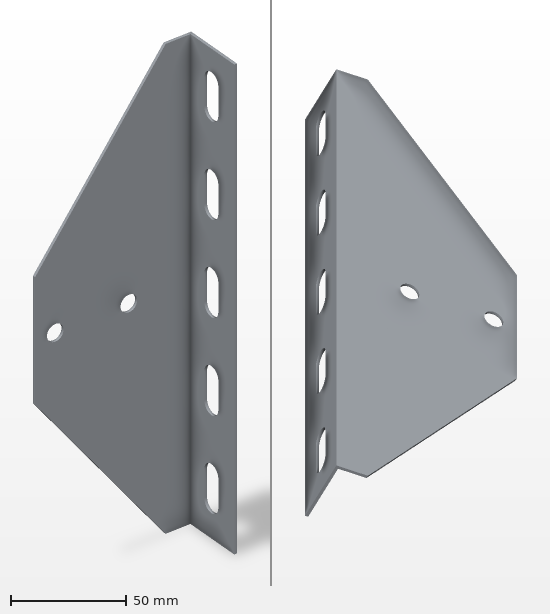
import cadquery as cq

flange_width = 33.0
web_depth = 86.0
height = 250.0
thickness = 1.5

end_land = 15.0
nose_height = 65.0
web_hole_diameter = 9.0
web_hole_depths = (35.0, 75.0)

slot_count = 5
slot_pitch = 50.0
slot_length = 25.0
slot_width = 10.0
slot_center_x = flange_width / 2
slot_row_offset = 0.5


def make_web():
    """Plate in the YZ plane, narrowing toward -Y, with two mounting holes."""
    outline = [
        (0, -height / 2),
        (-end_land, -height / 2),
        (-web_depth, -nose_height / 2),
        (-web_depth, nose_height / 2),
        (-end_land, height / 2),
        (0, height / 2),
    ]
    plate = cq.Workplane("YZ").polyline(outline).close().extrude(thickness)
    holes = (
        cq.Workplane("YZ")
        .pushPoints([(-depth, 0) for depth in web_hole_depths])
        .circle(web_hole_diameter / 2)
        .extrude(thickness)
    )
    return plate.cut(holes)


def make_flange():
    """Plate in the XZ plane with a vertical row of slots."""
    plate = cq.Workplane("XY").box(flange_width, thickness, height, centered=(False, False, True))
    plate = plate.translate((0, -thickness, 0))
    slots = (
        cq.Workplane("XZ")
        .center(slot_center_x, slot_row_offset)
        .rarray(2.5, slot_pitch, 1, slot_count)
        .slot2D(slot_length, slot_width, 90)
        .extrude(thickness)
    )
    return plate.cut(slots)


result = make_web().union(make_flange())